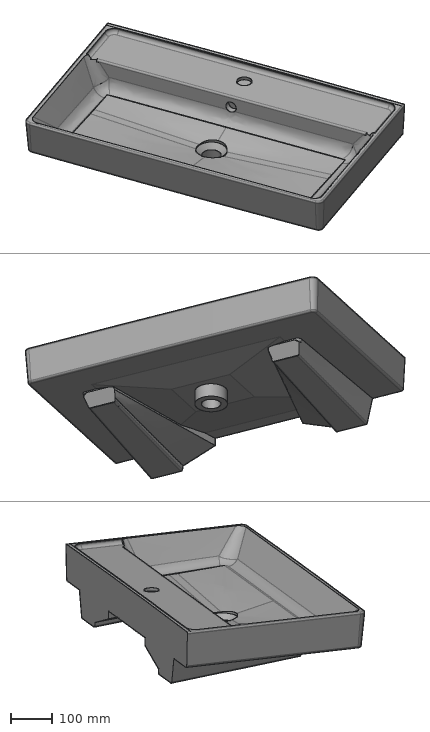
import cadquery as cq


length = 800.0
depth = 469.5
front_bow = 2.0
shell_height = 92.0
side_draft = 5.0
front_draft = 9.0
corner_radius = 16.0
lower_corner_radius = 12.0
rim_band = 5.0
rim_round = 4.0
bottom_round = 5.5

crest_height = 2.0
crest_width = 9.5

side_rim = 12.0
back_rim = 11.0
front_rim = 9.5
deck_drop = 12.0
deck_front = -136.0
deck_corner = 24.0
deck_cove = 9.5
deck_edge_round = 5.5
deck_edge_half_length = 362.0

wall_foot_z = -81.0
floor_tilt = 2.5
side_wall_run = 46.0
front_wall_run = 53.5
back_wall_run = 6.0
basin_top_corner = 19.0
basin_foot_corner = 40.0
basin_cove = 35.0

floor_half_length = 320.0
floor_back = -166.0
floor_front = -382.0
gutter_width = 21.5
gutter_end_drop = 1.5
gutter_drop = 21.5
floor_headroom = 8.0

drain_y = -249.0
drain_diameter = 47.0
drain_seat_diameter = 76.0
drain_seat_depth = 13.0
spigot_diameter = 79.0
spigot_bottom = -148.0
spigot_embed = 8.0

tap_y = -65.0
tap_diameter = 37.0
tap_depth = 8.0
overflow_z = -41.5
overflow_diameter = 27.0
overflow_depth = 12.0

belly_half_length = 304.0
belly_front = -400.0
belly_bottom = -113.5
belly_bottom_half_length = 80.0
belly_bottom_front = -304.0
belly_bottom_back = -176.0

bracket_root = -88.0
bracket_bottom = -159.0
bracket_root_outer_x = -312.0
bracket_outer_x = -296.0
bracket_inner_x = -210.0
web_foot_x = -208.0
web_foot_z = -145.5
web_top_x = -120.0
web_top_z = -112.0
nose_y = -356.0
nose_bottom = -129.5
nose_root_outer_x = -300.0
nose_outer_x = -286.0
nose_inner_x = -216.0
nose_web_foot_x = -214.0
nose_web_foot_z = -120.0
nose_web_top_x = -212.0
nose_web_top_z = -104.0
nose_brow_y = -360.0
nose_toe_y = -338.0
nose_corner = 12.0
bracket_round = 5.0

arc_inset = 1 - 0.5 ** 0.5
half_length = length / 2


def shell_outline(z, side_inset, front_inset, r):
    """Plan outline with a square back, rounded front corners and a bowed front."""
    x = half_length - side_inset
    front = -depth + front_inset
    ends = front + front_bow
    mid = r * arc_inset
    return (
        cq.Workplane("XY", origin=(0, 0, z))
        .moveTo(-x, 0)
        .lineTo(-x, ends + r)
        .threePointArc((-x + mid, ends + mid), (-x + r, ends))
        .threePointArc((0, front), (x - r, ends))
        .threePointArc((x - mid, ends + mid), (x, ends + r))
        .lineTo(x, 0)
        .close()
    )


def ruled(*outlines):
    """Straight-sided solid between closed outlines."""
    return cq.Workplane(obj=cq.Solid.makeLoft([o.wires().val() for o in outlines], True))


def rectangle(z, x_half, front, back):
    """Level rectangle centred on X, between two Y positions."""
    middle = (front + back) / 2
    return cq.Workplane("XY", origin=(0, middle, z)).rect(2 * x_half, back - front)


def rounded(outline, radius):
    """The outline with all its corners rounded."""
    wire = outline.wires().val()
    return cq.Workplane(obj=wire.fillet2D(radius, wire.Vertices()))


def tilted(part):
    """Lean a level part of the basin floor about the line through the drain."""
    return part.rotate((0, drain_y, wall_foot_z), (1, drain_y, wall_foot_z), -floor_tilt)


def section(y, points):
    """Closed polygon of (x, z) points standing at the given y."""
    return cq.Workplane("XZ", origin=(0, y, 0)).polyline(points).close()


def make_shell():
    """Drafted skirt under a rim band with rounded edges."""
    rim = shell_outline(-rim_band, 0, 0, corner_radius).extrude(rim_band)
    rim = rim.faces(">Z").edges("not >Y").fillet(rim_round)
    skirt = ruled(
        shell_outline(-shell_height, side_draft, front_draft, lower_corner_radius),
        shell_outline(-rim_band, 0, 0, corner_radius),
    )
    skirt = skirt.faces("<Z").edges("not >Y").fillet(bottom_round)
    return rim.union(skirt)


def make_crest():
    """Shallow arch standing on the back of the rim."""
    return (
        cq.Workplane("XZ")
        .moveTo(-half_length + rim_round, 0)
        .threePointArc((0, crest_height), (half_length - rim_round, 0))
        .lineTo(half_length - rim_round, -rim_round)
        .lineTo(-half_length + rim_round, -rim_round)
        .close()
        .extrude(crest_width)
    )


def make_belly():
    """Shallow bulge under the basin floor."""
    return ruled(
        rectangle(-shell_height + bottom_round, belly_half_length, belly_front, 0),
        rectangle(belly_bottom, belly_bottom_half_length, belly_bottom_front, belly_bottom_back),
    )


def make_bracket():
    """Left bracket: deep and webbed at the wall, shallow and narrow at the nose."""
    at_wall = section(0, [
        (bracket_root_outer_x, bracket_root),
        (bracket_outer_x, bracket_bottom),
        (bracket_inner_x, bracket_bottom),
        (web_foot_x, web_foot_z),
        (web_top_x, web_top_z),
        (web_top_x, bracket_root),
    ])
    at_nose = section(nose_y, [
        (nose_root_outer_x, bracket_root),
        (nose_outer_x, nose_bottom),
        (nose_inner_x, nose_bottom),
        (nose_web_foot_x, nose_web_foot_z),
        (nose_web_top_x, nose_web_top_z),
        (nose_web_top_x, bracket_root),
    ])
    nose_slope = (
        cq.Workplane("YZ", origin=(-half_length, 0, 0))
        .polyline([
            (nose_brow_y, bracket_root),
            (nose_toe_y, nose_bottom),
            (nose_toe_y, bracket_bottom),
            (-depth, bracket_bottom),
            (-depth, bracket_root),
        ])
        .close()
        .extrude(half_length)
    )
    bracket = ruled(at_wall, at_nose).cut(nose_slope)
    bracket = bracket.faces("<Y").edges("<X").fillet(nose_corner)
    return bracket.faces("<Z").edges("<X or >X").fillet(bracket_round)


def deck_cutter():
    """Recess of the tap deck, coved along its back and ends."""
    x = half_length - side_rim
    tool = rectangle(-deck_drop, x, deck_front - deck_edge_round, -back_rim).extrude(2 * deck_drop)
    tool = tool.edges("|Z and >Y").fillet(deck_corner)
    return tool.faces("<Z").edges("not <Y").fillet(deck_cove)


def basin_cutter():
    """Basin down to the foot of its sloping walls, coved into the floor."""
    x = half_length - side_rim
    front = -depth + front_bow + front_rim
    foot = rectangle(wall_foot_z, x - side_wall_run, front + front_wall_run, deck_front - back_wall_run)
    mouth = rectangle(0, x, front, deck_front)
    tool = ruled(tilted(rounded(foot, basin_foot_corner)), rounded(mouth, basin_top_corner))
    return tool.faces("<Z").edges().fillet(basin_cove)


def deck_edge_cutter():
    """Rounds over the edge where the deck falls into the basin."""
    def wall_y(z):
        return deck_front - back_wall_run * z / wall_foot_z

    r = deck_edge_round
    lower = -deck_drop - r
    middle = r * arc_inset
    return (
        cq.Workplane("YZ", origin=(-deck_edge_half_length, 0, 0))
        .moveTo(wall_y(-deck_drop) + r, -deck_drop)
        .threePointArc((wall_y(lower) + middle, -deck_drop - middle), (wall_y(lower), lower))
        .lineTo(deck_front - r, lower)
        .lineTo(deck_front - r, 0)
        .lineTo(wall_y(-deck_drop) + r, 0)
        .close()
        .extrude(2 * deck_edge_half_length)
    )


def floor_cutter():
    """Floor slopes below the foot of the walls."""
    def profile(x, edge_z, gutter_z):
        half = gutter_width / 2
        return cq.Workplane("YZ", origin=(x, 0, 0)).polyline([
            (floor_back, edge_z + floor_headroom),
            (floor_back, edge_z),
            (drain_y + half, gutter_z),
            (drain_y - half, gutter_z),
            (floor_front, edge_z),
            (floor_front, edge_z + floor_headroom),
        ]).close()

    middle = profile(0, wall_foot_z, wall_foot_z - gutter_drop)
    left = profile(-floor_half_length, wall_foot_z, wall_foot_z - gutter_end_drop)
    half = ruled(left, middle)
    return tilted(half.union(half.mirror("YZ")))


def round_bar(y, bottom, height, diameter):
    """Upright cylinder on the centre line."""
    return cq.Workplane("XY", origin=(0, y, bottom)).circle(diameter / 2).extrude(height)


def drain_cutter():
    """Bore through the spigot with a conical seat at the top."""
    seat_top = wall_foot_z - gutter_drop
    bore = round_bar(drain_y, spigot_bottom, -spigot_bottom, drain_diameter)
    seat_bottom = seat_top - drain_seat_depth
    seat_edge = cq.Workplane("XY", origin=(0, drain_y, seat_top)).circle(drain_seat_diameter / 2)
    throat = cq.Workplane("XY", origin=(0, drain_y, seat_bottom)).circle(drain_diameter / 2)
    relief = round_bar(drain_y, seat_top, gutter_drop, drain_seat_diameter)
    return bore.union(ruled(throat, seat_edge)).union(relief)


def overflow_cutter():
    """Blind overflow hole in the back wall of the basin."""
    return (
        cq.Workplane("XZ", origin=(0, deck_front + overflow_depth, overflow_z))
        .circle(overflow_diameter / 2)
        .extrude(overflow_depth + 2 * back_wall_run)
    )


bracket = make_bracket()
shell = make_shell().union(make_crest()).union(make_belly())
shell = shell.union(bracket).union(bracket.mirror("YZ"))
spigot = round_bar(drain_y, spigot_bottom, belly_bottom + spigot_embed - spigot_bottom, spigot_diameter)
shell = shell.union(spigot)
shell = shell.cut(deck_cutter()).cut(basin_cutter()).cut(floor_cutter())
shell = shell.cut(drain_cutter()).cut(overflow_cutter())
shell = shell.cut(round_bar(tap_y, -deck_drop - tap_depth, tap_depth + deck_drop, tap_diameter))
result = shell.cut(deck_edge_cutter())